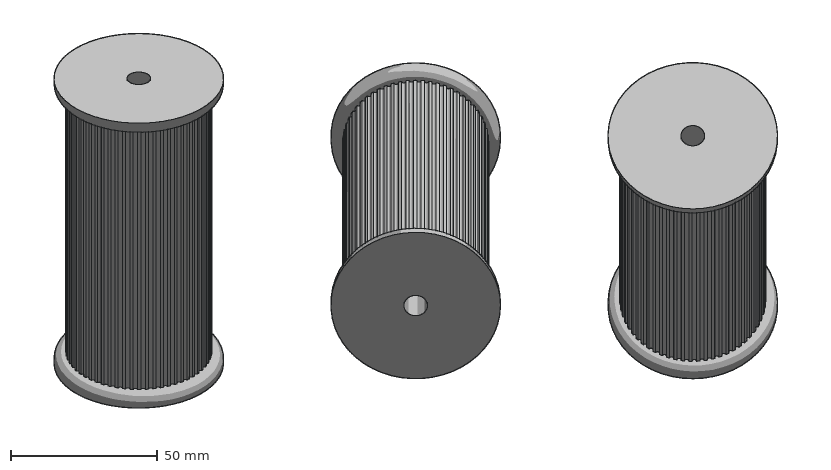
import cadquery as cq
import math

total_height = 115.0
flange_diameter = 58.1
bore_diameter = 8.0

rim_height = 2.0
flange_round = 3.1
flange_height = rim_height + flange_round

barrel_radius = 25.1
groove_count = 60
groove_radius = 0.75
barrel_height = total_height - 2 * flange_height


def make_flange():
    """Disc standing on the XY plane with its upper edge rounded."""
    disc = cq.Workplane("XY").circle(flange_diameter / 2).extrude(flange_height)
    return disc.faces(">Z").edges().fillet(flange_round)


def make_barrel():
    """Cylinder with concave flutes running along its full length."""
    half_angle = 2 * math.asin(groove_radius / (2 * barrel_radius))
    pitch_angle = 2 * math.pi / groove_count

    def on_circle(radius, angle):
        return (radius * math.cos(angle), radius * math.sin(angle))

    outline = cq.Workplane("XY").moveTo(*on_circle(barrel_radius, -half_angle))
    for index in range(groove_count):
        groove_angle = index * pitch_angle
        land_angle = groove_angle + pitch_angle / 2
        next_groove_start = groove_angle + pitch_angle - half_angle
        outline = outline.threePointArc(
            on_circle(barrel_radius - groove_radius, groove_angle),
            on_circle(barrel_radius, groove_angle + half_angle),
        )
        outline = outline.threePointArc(
            on_circle(barrel_radius, land_angle),
            on_circle(barrel_radius, next_groove_start),
        )
    barrel = outline.close().extrude(barrel_height)
    return barrel.translate((0, 0, flange_height))


lower_flange = make_flange()
mid_height_origin = (0, 0, total_height / 2)
upper_flange = lower_flange.mirror("XY", mid_height_origin)
bore = cq.Workplane("XY").circle(bore_diameter / 2).extrude(total_height)

result = lower_flange.union(make_barrel()).union(upper_flange).cut(bore)